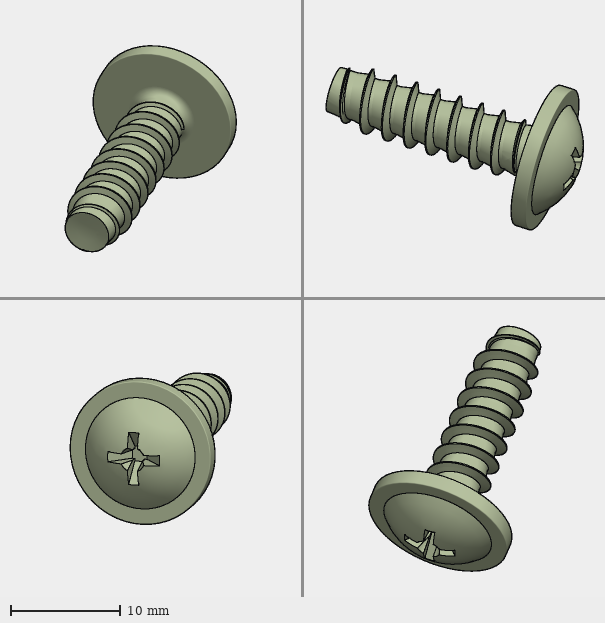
import cadquery as cq
import math


overall_length = 23.9

flange_radius = 13.5 / 2
flange_thickness = 1.48
flange_edge_round = 0.1
dome_radius = 5.25
dome_height = 2.55

core_top_radius = 1.2
core_bottom_radius = 0.48
wing_span = 5.85
wing_bottom_span = 1.43
wing_width = 0.95
recess_depth = 2.4

neck_radius = 2.41
neck_fillet = 0.77
neck_end = 1.48
root_radius = 2.15
root_start = 2.63
tip_radius = 2.1
tip_taper_length = 0.84
tip_dish_radius = 2.03
tip_dish_depth = 0.2

full_thread_length = 12.85
full_turns = 6
pitch = full_thread_length / full_turns
thread_start = 1.25
crest_radius = 6.0 / 2
crest_width = 0.12
head_flank_knee = (-0.26, 2.55)
head_flank_foot = -0.57
ramp_top_radius = 2.37
ramp_top_offset = 0.25
ramp_end_offset = 1.55
ramp_end_radius = 2.1
buried_radius = 1.91
run_in_turns = 5 / 4
run_out_turns = 3 / 2
run_in_ridge = 0.64
run_out_ridge = 0.2
run_out_ramp = 0.5
points_per_turn = 16

dome_apex = -(flange_thickness + dome_height)
sphere_radius = (dome_radius**2 + dome_height**2) / (2 * dome_height)
head_top = dome_apex + sphere_radius - math.sqrt(sphere_radius**2 - core_top_radius**2)
shank_length = overall_length + head_top


def make_head():
    flange = (
        cq.Workplane("XY")
        .circle(flange_radius)
        .extrude(-flange_thickness)
        .edges()
        .fillet(flange_edge_round)
    )
    dome_base = cq.Workplane("XY").workplane(offset=-flange_thickness)
    dome_zone = dome_base.circle(dome_radius).extrude(-dome_height)
    dome = cq.Workplane("XY").sphere(sphere_radius).translate((0, 0, dome_apex + sphere_radius))
    return flange.union(dome.intersect(dome_zone))


def make_recess():
    """Conical core and two crossing wings that narrow towards the bottom."""
    bottom = dome_apex + recess_depth
    half_span = wing_span / 2
    half_bottom = wing_bottom_span / 2
    recess = (
        cq.Workplane("XZ")
        .polyline([(0, dome_apex), (core_top_radius, dome_apex), (core_bottom_radius, bottom), (0, bottom)])
        .close()
        .revolve(360, (0, 0, 0), (0, 1, 0))
    )
    wing = (
        cq.Workplane("XZ")
        .moveTo(-half_span, dome_apex)
        .lineTo(half_span, dome_apex)
        .lineTo(half_bottom, bottom)
        .lineTo(-half_bottom, bottom)
        .close()
        .extrude(wing_width / 2, both=True)
    )
    return recess.union(wing).union(wing.rotate((0, 0, 0), (0, 0, 1), 90))


def make_core():
    """Filleted neck, tapered shoulder and plain root down to the tip."""
    fillet_mid = neck_fillet * (1 - math.sqrt(0.5))
    return (
        cq.Workplane("XZ")
        .moveTo(0, -flange_thickness / 2)
        .lineTo(neck_radius + neck_fillet, -flange_thickness / 2)
        .lineTo(neck_radius + neck_fillet, 0)
        .threePointArc((neck_radius + fillet_mid, fillet_mid), (neck_radius, neck_fillet))
        .lineTo(neck_radius, neck_end)
        .lineTo(root_radius, root_start)
        .lineTo(root_radius, shank_length - tip_taper_length)
        .lineTo(tip_radius, shank_length)
        .lineTo(0, shank_length)
        .close()
        .revolve(360, (0, 0, 0), (0, 1, 0))
    )


def make_tip_cutter():
    """Everything beyond the flat tip, with a shallow spherical bulge that dishes the tip."""
    dish_sphere_radius = (tip_dish_radius**2 + tip_dish_depth**2) / (2 * tip_dish_depth)
    dish = cq.Workplane("XY").sphere(dish_sphere_radius)
    dish = dish.translate((0, 0, shank_length - tip_dish_depth + dish_sphere_radius))
    beyond_tip = cq.Workplane("XY").workplane(offset=shank_length).circle(flange_radius).extrude(2 * pitch)
    return beyond_tip.union(dish)


def make_thread():
    """Sharp ridge that rises out of the neck and sinks into the tip.

    A shallow ramp falls from its tip side to the root of the next turn.
    """
    profile = [
        (head_flank_foot, buried_radius, "base"),
        (*head_flank_knee, "ridge"),
        (-crest_width / 2, crest_radius, "ridge"),
        (crest_width / 2, crest_radius, "ridge"),
        (ramp_top_offset, ramp_top_radius, "ramp"),
        (ramp_end_offset, ramp_end_radius, "base"),
        (ramp_end_offset, buried_radius, "base"),
    ]
    entry = {"base": 1, "ridge": run_in_ridge, "ramp": 1}
    full = {"base": 1, "ridge": 1, "ramp": 1}
    tip_end = {"base": 1, "ridge": run_out_ridge, "ramp": run_out_ramp}
    stages = [
        (run_in_turns, entry, full),
        *[(1, full, full)] * full_turns,
        (run_out_turns, full, tip_end),
    ]

    def point_at(corner, turn, share):
        offset, full_radius, _ = corner
        radius = buried_radius + (full_radius - buried_radius) * share
        angle = 2 * math.pi * turn
        height = thread_start + pitch * turn + offset * share
        return cq.Vector(radius * math.cos(angle), radius * math.sin(angle), height)

    def end_cap(turn, heights):
        corners = [point_at(corner, turn, heights[corner[2]]) for corner in profile]
        return cq.Face.makeFromWires(cq.Wire.makePolygon(corners, close=True))

    def corner_curve(corner, first_turn, turns, start, end):
        part = corner[2]
        steps = math.ceil(turns * points_per_turn)
        points = []
        for step in range(steps + 1):
            progress = step / steps
            share = start[part] + (end[part] - start[part]) * progress
            points.append(point_at(corner, first_turn + turns * progress, share))
        return cq.Edge.makeSpline(points)

    faces = [end_cap(0, entry)]
    first_turn = 0
    for turns, start, end in stages:
        curves = [corner_curve(corner, first_turn, turns, start, end) for corner in profile]
        for curve, next_curve in zip(curves, curves[1:] + curves[:1]):
            faces.append(cq.Face.makeRuledSurface(curve, next_curve))
        first_turn += turns
    faces.append(end_cap(first_turn, tip_end))
    solid = cq.Solid.makeSolid(cq.Shell.makeShell(faces))
    return cq.Workplane("XY").newObject([solid.fix()])


def make_shank():
    return make_core().union(make_thread()).cut(make_tip_cutter())


screw = make_head().cut(make_recess()).union(make_shank())

result = screw.rotate((0, 0, 0), (1, 0, 0), 90)